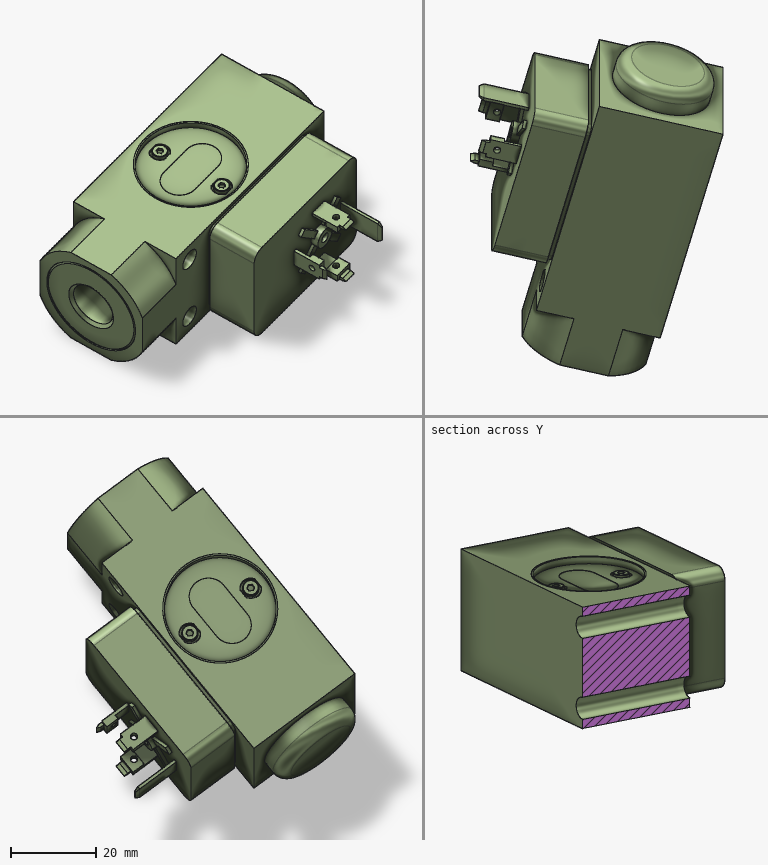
import cadquery as cq
import math


block_side = 30.0
block_length = 71.1
half_side = block_side / 2
neck_length = 13.15
neck_diameter = 32.2

insert_diameter = 26.0
insert_chamfer = 0.5
bore_diameter = 11.45
bore_mouth_diameter = 13.1
bore_mouth_depth = 0.8
bore_depth = 8.0
bore_tip_slope = math.radians(30)
bore_tip_depth = bore_diameter / 2 * math.tan(bore_tip_slope)

mount_hole_diameter = 5.3
mount_hole_y = 18.5
mount_hole_z = 10.0

cap_diameter = 23.65
cap_height = 6.2
cap_round = 3.0

cover_y = 39.0
rim_diameter = 27.0
rim_depth = 0.1
recess_diameter = 26.2
recess_depth = 1.8
label_length = 18.0
label_width = 9.05
label_depth = 0.1

screw_offset = 9.05
pocket_diameter = 5.0
pocket_width = 4.3
pocket_depth = 0.8
head_diameter = 3.8
head_rise = 0.5
head_chamfer = 0.15
socket_corner_diameter = 1.8
socket_depth = 0.8

connector_y = 45.1
housing_length = 40.05
housing_depth = 13.0
housing_round = 3.0
gasket_thickness = 1.0
gasket_inset = 1.0
housing_x = half_side + gasket_thickness
connector_face_x = housing_x + housing_depth

contact_y = 50.1
cross_arm_length = 19.95
cross_arm_width = 2.0
cross_height = 0.85
boss_diameter = 5.6
boss_height = 2.0
boss_hole_diameter = 2.5

blade_offset = 9.05
blade_thickness = 0.85
blade_width = 4.9
blade_shoulder = 7.4
blade_tip_width = 3.2
blade_length = 9.35
fold_start = 4.1
fold_inner_offset = 7.6
blade_hole_diameter = 1.6
blade_hole_distance = 5.25
tip_bevel = 1.0
blade_tip_thickness = 0.1
ground_width = 6.25
ground_length = 12.0
ground_thickness = 0.8
ground_tip_bevel = 1.1
ground_tip_width = 4.5
ground_tip_thickness = 0.3

embed = 0.4


def make_block():
    """Square block whose front end is narrowed by a coaxial cylinder."""
    body = cq.Workplane("XY").box(
        block_side, block_length - neck_length, block_side
    ).translate((0, (block_length + neck_length) / 2, 0))
    neck = cq.Workplane("XY").box(block_side, neck_length, block_side).translate((0, neck_length / 2, 0))
    round_bar = cq.Workplane("XZ").circle(neck_diameter / 2).extrude(-neck_length)
    return body.union(neck.intersect(round_bar))


def make_cap():
    """Rear cap with a rounded edge."""
    cap = cq.Workplane("XZ", origin=(0, block_length, 0)).circle(cap_diameter / 2).extrude(-cap_height)
    return cap.faces(">Y").edges().fillet(cap_round)


def make_port_cut():
    """Blind bore with chamfered mouth and conical end, revolved about Y."""
    bore_radius = bore_diameter / 2
    mouth_radius = bore_mouth_diameter / 2
    return (
        cq.Workplane("XY")
        .moveTo(0, 0)
        .lineTo(mouth_radius, 0)
        .lineTo(bore_radius, bore_mouth_depth)
        .lineTo(bore_radius, bore_depth)
        .lineTo(0, bore_depth + bore_tip_depth)
        .close()
        .revolve(360, (0, 0, 0), (0, 1, 0))
    )


def make_insert_groove():
    """V groove left by the chamfered edge of the flush port insert."""
    outer_radius = insert_diameter / 2
    return (
        cq.Workplane("XY")
        .moveTo(outer_radius, 0)
        .lineTo(outer_radius, insert_chamfer)
        .lineTo(outer_radius - insert_chamfer, 0)
        .close()
        .revolve(360, (0, 0, 0), (0, 1, 0))
    )


def make_mount_holes():
    """Two parallel holes running through the block along X."""
    return (
        cq.Workplane("YZ", origin=(-half_side, 0, 0))
        .pushPoints([(mount_hole_y, mount_hole_z), (mount_hole_y, -mount_hole_z)])
        .circle(mount_hole_diameter / 2)
        .extrude(block_side)
    )


def make_cover_cut():
    """Stepped round recess with a shallow label field in its floor."""
    top = cq.Workplane("XY", origin=(0, cover_y, half_side))
    floor = top.workplane(offset=-recess_depth)
    rim = top.circle(rim_diameter / 2).extrude(-rim_depth)
    recess = top.circle(recess_diameter / 2).extrude(-recess_depth)
    label = floor.slot2D(label_length, label_width, 90).extrude(-label_depth)
    return rim.union(recess).union(label)


def make_screw_pocket(x):
    """Pocket with two flat sides in the recess floor."""
    floor = cq.Workplane("XY", origin=(x, cover_y, half_side - recess_depth))
    pocket = floor.circle(pocket_diameter / 2).extrude(-pocket_depth)
    return pocket.intersect(floor.rect(pocket_width, pocket_diameter).extrude(-pocket_depth))


def make_screw_head(x):
    """Chamfered screw head with a hexagon socket, standing on the pocket floor."""
    head_height = pocket_depth + head_rise
    pocket_floor = cq.Workplane("XY", origin=(x, cover_y, half_side - recess_depth - pocket_depth))
    head = pocket_floor.circle(head_diameter / 2).extrude(head_height)
    head = head.faces(">Z").edges().chamfer(head_chamfer)
    head_top = pocket_floor.workplane(offset=head_height)
    socket = head_top.transformed(rotate=(0, 0, 90)).polygon(6, socket_corner_diameter).extrude(-socket_depth)
    return head.cut(socket)


def make_housing():
    """Connector housing standing off the block on a smaller gasket."""
    gasket = (
        cq.Workplane("YZ", origin=(half_side, connector_y, 0))
        .rect(housing_length - 2 * gasket_inset, block_side - 2 * gasket_inset)
        .extrude(gasket_thickness)
        .edges("|X")
        .fillet(housing_round - gasket_inset)
    )
    housing = (
        cq.Workplane("YZ", origin=(housing_x, connector_y, 0))
        .rect(housing_length, block_side)
        .extrude(housing_depth)
        .edges("|X")
        .fillet(housing_round)
    )
    return gasket.union(housing)


def make_contact_base():
    """Diagonal cross with a drilled central boss on the connector face."""
    face = cq.Workplane("YZ", origin=(connector_face_x, contact_y, 0))
    base = face.circle(boss_diameter / 2).extrude(boss_height)
    for angle in (45, 135):
        arm = face.transformed(rotate=(0, 0, angle)).rect(cross_arm_length, cross_arm_width)
        base = base.union(arm.extrude(cross_height))
    hole = face.circle(boss_hole_diameter / 2).extrude(boss_height)
    return base.cut(hole)


def blade_side(length, thickness, bevel, tip_thickness):
    """Edge-on outline of a blade: constant thickness with a bevelled tip."""
    half = thickness / 2
    half_tip = tip_thickness / 2
    return [
        (-embed, -half),
        (length - bevel, -half),
        (length, -half_tip),
        (length, half_tip),
        (length - bevel, half),
        (-embed, half),
    ]


def make_blade():
    """Small contact above the contact centre, folded double before its tip."""
    origin = (connector_face_x, contact_y, blade_offset)
    edge_plane = cq.Workplane("XZ", origin=origin)
    flat_plane = cq.Workplane("XY", origin=origin)
    fold_reach = blade_offset - fold_inner_offset
    side = blade_side(blade_length, blade_thickness, tip_bevel, blade_tip_thickness)
    blade = edge_plane.polyline(side).close().extrude(blade_width / 2, both=True)
    fold = (
        edge_plane.moveTo(fold_start, 0)
        .lineTo(fold_start, -fold_reach)
        .lineTo(blade_shoulder, -fold_reach)
        .lineTo(blade_shoulder, 0)
        .close()
        .extrude(blade_width / 2, both=True)
    )
    outline = (
        flat_plane.moveTo(-embed, -blade_width / 2)
        .lineTo(blade_shoulder, -blade_width / 2)
        .lineTo(blade_shoulder, -blade_tip_width / 2)
        .lineTo(blade_length, -blade_tip_width / 2)
        .lineTo(blade_length, blade_tip_width / 2)
        .lineTo(blade_shoulder, blade_tip_width / 2)
        .lineTo(blade_shoulder, blade_width / 2)
        .lineTo(-embed, blade_width / 2)
        .close()
        .extrude(fold_reach, both=True)
    )
    hole = flat_plane.center(blade_hole_distance, 0).circle(blade_hole_diameter / 2)
    return blade.union(fold).intersect(outline).cut(hole.extrude(fold_reach, both=True))


def make_ground_blade():
    """Wider, longer plain contact on the +Y side, with a narrowed tip."""
    origin = (connector_face_x, contact_y + blade_offset, 0)
    shoulder = ground_length - ground_tip_bevel
    side = blade_side(ground_length, ground_thickness, ground_tip_bevel, ground_tip_thickness)
    blade = cq.Workplane("XY", origin=origin).polyline(side).close().extrude(ground_width / 2, both=True)
    outline = (
        cq.Workplane("XZ", origin=origin)
        .moveTo(-embed, -ground_width / 2)
        .lineTo(shoulder, -ground_width / 2)
        .lineTo(ground_length, -ground_tip_width / 2)
        .lineTo(ground_length, ground_tip_width / 2)
        .lineTo(shoulder, ground_width / 2)
        .lineTo(-embed, ground_width / 2)
        .close()
        .extrude(ground_thickness, both=True)
    )
    return blade.intersect(outline)


result = make_block().union(make_cap())
result = result.cut(make_port_cut()).cut(make_insert_groove())
result = result.cut(make_mount_holes()).cut(make_cover_cut())
for screw_x in (-screw_offset, screw_offset):
    result = result.cut(make_screw_pocket(screw_x)).union(make_screw_head(screw_x))
result = result.union(make_housing()).union(make_contact_base())

contact_axis_start = (0, contact_y, 0)
contact_axis_end = (1, contact_y, 0)
for turn in (0, 90, 180):
    result = result.union(make_blade().rotate(contact_axis_start, contact_axis_end, turn))
result = result.union(make_ground_blade())